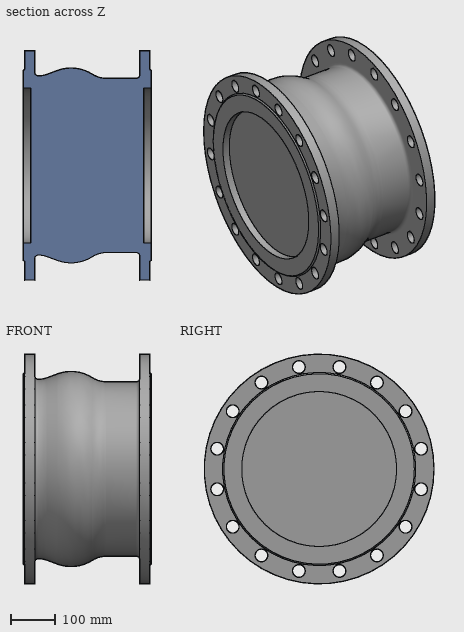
import cadquery as cq
import math

overall_length = 290.0
flange_radius = 260.0
flange_thickness = 23.0
face_height = 3.5
face_base_radius = 218.5
face_top_radius = 215.5
root_fillet = 8.0

bolt_count = 16
bolt_circle_radius = 235.0
bolt_hole_diameter = 28.0

recess_radius = 175.0
recess_depth = 17.0

neck_radius = 203.5
neck_end_x = -109.0
neck_arc_radius = 50.5
crest_x = -36.5
crest_radius = 221.0
crest_arc_radius = 88.5
pipe_radius = 197.5
pipe_start_x = 43.0

end_x = overall_length / 2
flange_outer_x = end_x - face_height
flange_inner_x = flange_outer_x - flange_thickness


def arc_point(center_x, center_r, radius, angle):
    """Point on an arc, with the angle measured from the radial direction."""
    return (center_x + radius * math.sin(angle), center_r + radius * math.cos(angle))


def cone_angle(width, drop):
    """Slope of the straight line tangent to both the crest arc and the neck arc."""
    radii_sum = crest_arc_radius + neck_arc_radius
    center_rise = radii_sum - drop
    return math.atan2(width, center_rise) - math.acos(radii_sum / math.hypot(width, center_rise))


def make_body():
    """Revolve the flanges and the bulged tube as one solid around X."""
    crest_center_r = crest_radius - crest_arc_radius
    neck_center_r = neck_radius + neck_arc_radius
    left_angle = cone_angle(crest_x - neck_end_x, crest_radius - neck_radius)

    right_width = pipe_start_x - crest_x
    right_angle = 2 * math.atan((crest_radius - pipe_radius) / right_width)
    pipe_arc_radius = right_width / math.sin(right_angle) - crest_arc_radius
    pipe_center_r = pipe_radius + pipe_arc_radius

    def neck_arc(angle):
        return arc_point(neck_end_x, neck_center_r, neck_arc_radius, math.pi - angle)

    def crest_arc(angle):
        return arc_point(crest_x, crest_center_r, crest_arc_radius, angle)

    def pipe_arc(angle):
        return arc_point(pipe_start_x, pipe_center_r, pipe_arc_radius, math.pi + angle)

    neck_fillet_end = (root_fillet - flange_inner_x, neck_radius)
    pipe_fillet_end = (flange_inner_x, pipe_radius + root_fillet)
    profile = (
        cq.Workplane("XY")
        .moveTo(-end_x, 0)
        .lineTo(-end_x, face_top_radius)
        .lineTo(-flange_outer_x, face_base_radius)
        .lineTo(-flange_outer_x, flange_radius)
        .lineTo(-flange_inner_x, flange_radius)
        .lineTo(-flange_inner_x, neck_radius + root_fillet)
        .radiusArc(neck_fillet_end, -root_fillet)
        .lineTo(neck_end_x, neck_radius)
        .threePointArc(neck_arc(left_angle / 2), neck_arc(left_angle))
        .lineTo(*crest_arc(-left_angle))
        .threePointArc(crest_arc(0), crest_arc(right_angle))
        .threePointArc(pipe_arc(right_angle / 2), (pipe_start_x, pipe_radius))
        .lineTo(flange_inner_x - root_fillet, pipe_radius)
        .radiusArc(pipe_fillet_end, -root_fillet)
        .lineTo(flange_inner_x, flange_radius)
        .lineTo(flange_outer_x, flange_radius)
        .lineTo(flange_outer_x, face_base_radius)
        .lineTo(end_x, face_top_radius)
        .lineTo(end_x, 0)
        .close()
    )
    return profile.revolve(360, (0, 0, 0), (1, 0, 0))


def make_bolt_holes():
    """Cutters along X, long enough to pass through both flanges."""
    half_pitch = 180 / bolt_count
    return (
        cq.Workplane("YZ", origin=(-end_x, 0, 0))
        .polarArray(bolt_circle_radius, half_pitch, 360, bolt_count)
        .circle(bolt_hole_diameter / 2)
        .extrude(overall_length)
    )


def make_recess(start_x):
    return cq.Workplane("YZ", origin=(start_x, 0, 0)).circle(recess_radius).extrude(recess_depth)


result = make_body().cut(make_bolt_holes())
for recess_start_x in (-end_x, end_x - recess_depth):
    result = result.cut(make_recess(recess_start_x))